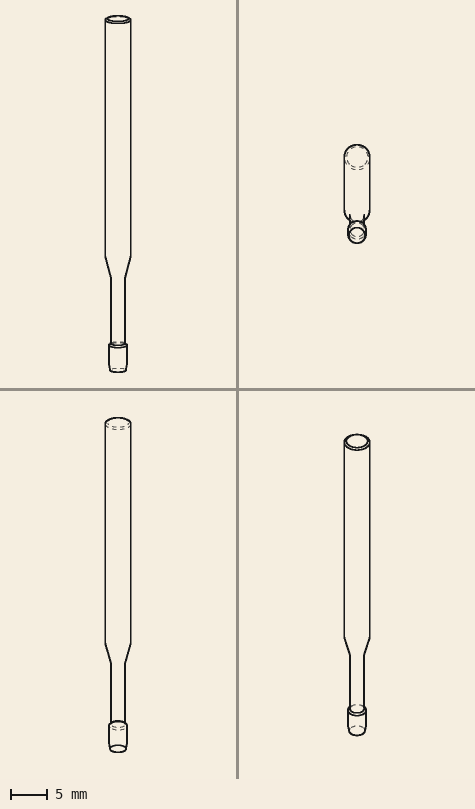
import cadquery as cq

total_length = 50.0

head_diameter = 2.5
head_length = 3.8
head_shoulder_height = 0.25
head_tip_diameter = 2.2
head_tip_length = 0.9

neck_diameter = 1.95
neck_top = 13.1
shank_diameter = 3.5
shank_bottom = 16.15
shank_chamfer_height = 0.2
shank_chamfer_width = 0.3


def revolve_profile(outer_points):
    """Turn an outer contour of (radius, height) points about Z, closed along the axis."""
    bottom_height = outer_points[0][1]
    top_height = outer_points[-1][1]
    return (
        cq.Workplane("XZ")
        .polyline([(0, bottom_height), *outer_points, (0, top_height)])
        .close()
        .revolve(360, (0, 0, 0), (0, 1, 0))
    )


def make_cutting_head():
    """Cylindrical head with a tapered tip and an upper shoulder sloping in to the neck."""
    head_radius = head_diameter / 2
    return revolve_profile([
        (head_tip_diameter / 2, 0),
        (head_radius, head_tip_length),
        (head_radius, head_length - head_shoulder_height),
        (neck_diameter / 2, head_length),
    ])


def make_holder():
    """Slim neck standing on the head and widening through a cone into the shank."""
    neck_radius = neck_diameter / 2
    shank_radius = shank_diameter / 2
    return revolve_profile([
        (neck_radius, head_length),
        (neck_radius, neck_top),
        (shank_radius, shank_bottom),
        (shank_radius, total_length - shank_chamfer_height),
        (shank_radius - shank_chamfer_width, total_length),
    ])


cutting_head = make_cutting_head()
holder = make_holder()

result = cq.Compound.makeCompound([cutting_head.val(), holder.val()])